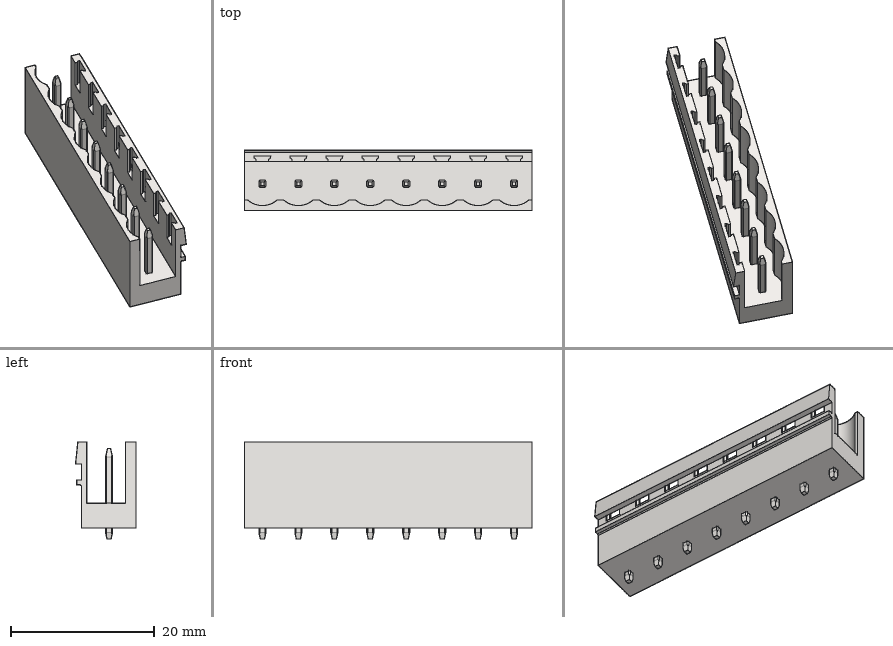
import cadquery as cq

length = 40.0
height = 12.0
floor_height = 3.5
base_depth = 7.6
front_wall = 1.5
back_wall_inner = 6.85

hook_bottom = 8.9
hook_top_y = 8.1
hook_tip_y = 8.45

rib_bottom = 6.0
rib_top = 6.7
rib_y = 8.3
rib_root = 0.15

contact_count = 8
pitch = length / contact_count
pin_y = 3.75

scallop_chord = 4.1
scallop_depth = 0.75

slot_mouth_width = 1.75
slot_back_width = 2.3
slot_mouth_depth = 0.3
slot_back_depth = 0.25
slot_bottom = 7.9

pin_width = 1.0
pin_corner = 0.15
pin_bottom = -1.5
pin_top = 11.1
lower_taper_start = -0.6
upper_taper_start = 9.9
lower_tip_width = 0.6
upper_tip_width = 0.45

contact_xs = [(i + 0.5) * pitch for i in range(contact_count)]


def make_trough():
    """Constant cross-section of the housing, drawn in YZ and run along X."""
    profile = [
        (0, 0),
        (base_depth, 0),
        (base_depth, rib_bottom - rib_root),
        (base_depth + rib_root, rib_bottom),
        (rib_y, rib_bottom),
        (rib_y, rib_top),
        (base_depth, rib_top),
        (base_depth, hook_bottom),
        (hook_tip_y, hook_bottom),
        (hook_top_y, height),
        (back_wall_inner, height),
        (back_wall_inner, floor_height),
        (front_wall, floor_height),
        (front_wall, height),
        (0, height),
    ]
    return cq.Workplane("YZ").polyline(profile).close().extrude(length)


def make_scallop(x):
    """Arc-shaped hollow in the front wall, from the trough floor to the top."""
    half_chord = scallop_chord / 2
    return (
        cq.Workplane("XY", origin=(x, front_wall, floor_height))
        .moveTo(-half_chord, 0)
        .threePointArc((0, -scallop_depth), (half_chord, 0))
        .close()
        .extrude(height - floor_height)
    )


def make_slot(x):
    """Keying slot, open at the top; it breaks through the back wall below the hook."""
    half_mouth = slot_mouth_width / 2
    half_back = slot_back_width / 2
    slot_depth = base_depth - back_wall_inner
    outline = [
        (-half_mouth, 0),
        (half_mouth, 0),
        (half_mouth, slot_mouth_depth),
        (half_back, slot_depth - slot_back_depth),
        (half_back, slot_depth),
        (-half_back, slot_depth),
        (-half_back, slot_depth - slot_back_depth),
        (-half_mouth, slot_mouth_depth),
    ]
    return (
        cq.Workplane("XY", origin=(x, back_wall_inner, slot_bottom))
        .polyline(outline)
        .close()
        .extrude(height - slot_bottom)
    )


def make_taper(start_z, end_z, tip_width):
    """Four-sided taper from the full pin width down to the tip."""
    return (
        cq.Workplane("XY", origin=(0, 0, start_z))
        .rect(pin_width, pin_width)
        .workplane(offset=end_z - start_z)
        .rect(tip_width, tip_width)
        .loft()
    )


def make_pin(x):
    """Square pin with chamfered long edges and a taper at each end."""
    shank = (
        cq.Workplane("XY", origin=(0, 0, lower_taper_start))
        .rect(pin_width, pin_width)
        .extrude(upper_taper_start - lower_taper_start)
    )
    envelope = (
        shank
        .union(make_taper(lower_taper_start, pin_bottom, lower_tip_width))
        .union(make_taper(upper_taper_start, pin_top, upper_tip_width))
    )
    chamfered_bar = (
        cq.Workplane("XY", origin=(0, 0, pin_bottom))
        .rect(pin_width, pin_width)
        .extrude(pin_top - pin_bottom)
        .edges("|Z")
        .chamfer(pin_corner)
    )
    return envelope.intersect(chamfered_bar).translate((x, pin_y, 0))


pins = [make_pin(x) for x in contact_xs]

housing = make_trough()
for x in contact_xs:
    housing = housing.cut(make_scallop(x)).cut(make_slot(x))
for pin in pins:
    housing = housing.cut(pin)

result = cq.Compound.makeCompound([housing.val(), *[pin.val() for pin in pins]])